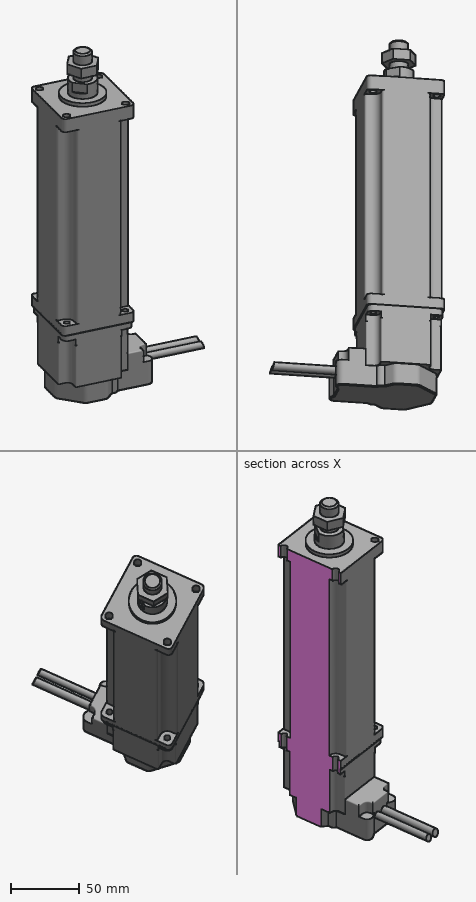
import cadquery as cq
import math

CAP_TOP = 16.5
CONNECTOR_SHELF_Z = 19.7
CONNECTOR_TOP = 29.7
MOTOR_RELIEF_Z = 50.8
MOTOR_GROOVE_TOP = 55.8
MOTOR_TOP = 60.8
LOWER_FLANGE_TOP = 68.8
UPPER_FLANGE_BOTTOM = 229.0
HOUSING_TOP = 239.8
PILOT_TOP = 242.8
ROD_FLAT_BOTTOM = 247.3
ROD_TOP = 254.7
NUT_BOTTOM = 260.5
NUT_HEIGHT = 8.0
TIP_TOP = 277.5

HOUSING_WIDTH = 58.0
FLANGE_CORNER_RADIUS = 3.3
BOLT_OFFSET = 24.0
BOLT_HOLE_DIAMETER = 5.5
HOUSING_GROOVE_WALL = 18.0
HOUSING_MOUTH_RADIUS = 1.7

MOTOR_WIDTH = 56.3
MOTOR_CORNER_RADIUS = 4.5
MOTOR_GROOVE_WALL = 18.5
MOTOR_GROOVE_RADIUS = 4.2
MOTOR_MOUTH_RADIUS = 0.8
MOTOR_BOLT_OFFSET = 23.5
MOTOR_BOLT_HOLE_DIAMETER = 4.5

CAP_WIDTH = 53.3
CAP_FLAT_HALF = 9.7
CAP_BACK_FLAT_HALF = 8.0
CAP_EDGE_RADIUS = 4.7
BASE_CHAMFER = 0.8

CONNECTOR_WIDTH = 36.0
CONNECTOR_FRONT_Y = 47.2
CONNECTOR_EDGE_RADIUS = 0.97
EAR_RADIUS = 4.58
EAR_RECESS_RADIUS = 4.02
EAR_Y = 45.0
EAR_SLOPE_ANGLE = 65
SHOULDER_WIDTH = 40.5
SHOULDER_Y = 20.5
SHOULDER_RADIUS = 4.0

CABLE_END_Y = 95.6
CABLE_END_SLANT = 1.7
CABLE_Z = 16.0
POWER_CABLE_X = -4.0
POWER_CABLE_DIAMETER = 6.5
SIGNAL_CABLE_X = 4.2
SIGNAL_CABLE_DIAMETER = 5.5

PILOT_DIAMETER = 35.0
ROD_DIAMETER = 22.0
ROD_ACROSS_FLATS = 19.0
ROD_FLAT_ANGLE = -38
TIP_DIAMETER = 14.0
TIP_CHAMFER = 1.5
NUT_ACROSS_FLATS = 22.0

COS_45 = math.sqrt(0.5)
HALF_FACET_ANGLE = math.radians(30)
CORNER_SIGNS = [(sx, sy) for sx in (-1, 1) for sy in (-1, 1)]


def square_block(width, bottom, top):
    """Square block centred on the Z axis."""
    return cq.Workplane("XY", origin=(0, 0, bottom)).rect(width, width).extrude(top - bottom)


def cylinder(diameter, bottom, top):
    """Round bar on the Z axis."""
    return cq.Workplane("XY", origin=(0, 0, bottom)).circle(diameter / 2).extrude(top - bottom)


def corner_grooves(width, wall, radius, mouth_radius, bottom, top):
    """Cutters for the four bolt grooves along the corners of a square block.

    Each groove has walls at the distance `wall` from the axis planes, a rounded
    inner edge, and mouths rounded over at the block faces.
    """
    half = width / 2
    outside = width
    mouth = wall - mouth_radius
    mouth_end = half - mouth_radius
    mouth_mid = mouth_radius * COS_45
    tangent = wall + radius
    arc_mid = tangent - radius * COS_45
    outline = cq.Workplane("XY", origin=(0, 0, bottom)).moveTo(mouth, outside)
    if mouth_radius > 0:
        outline = outline.lineTo(mouth, half)
        outline = outline.threePointArc((mouth + mouth_mid, mouth_end + mouth_mid), (wall, mouth_end))
    outline = outline.lineTo(wall, tangent).threePointArc((arc_mid, arc_mid), (tangent, wall))
    if mouth_radius > 0:
        outline = outline.lineTo(mouth_end, wall)
        outline = outline.threePointArc((mouth_end + mouth_mid, mouth + mouth_mid), (half, mouth))
    groove = outline.lineTo(outside, mouth).lineTo(outside, outside).close().extrude(top - bottom)

    cutters = groove
    for turn in (90, 180, 270):
        cutters = cutters.union(groove.rotate((0, 0, 0), (0, 0, 1), turn))
    return cutters


def make_motor():
    """Square motor with corner grooves whose mouths are rounded in their lower part."""
    motor = square_block(MOTOR_WIDTH, CAP_TOP, MOTOR_TOP).edges("|Z").fillet(MOTOR_CORNER_RADIUS)
    stages = [
        (CAP_TOP, MOTOR_RELIEF_Z, MOTOR_MOUTH_RADIUS),
        (MOTOR_RELIEF_Z, MOTOR_GROOVE_TOP, 0),
    ]
    for bottom, top, mouth_radius in stages:
        motor = motor.cut(
            corner_grooves(MOTOR_WIDTH, MOTOR_GROOVE_WALL, MOTOR_GROOVE_RADIUS, mouth_radius, bottom, top)
        )
    return motor


def make_housing():
    """Cylinder housing with a bolted flange at each end and grooves between them."""
    housing = square_block(HOUSING_WIDTH, MOTOR_TOP, HOUSING_TOP)
    housing = housing.edges("|Z").fillet(FLANGE_CORNER_RADIUS)
    grooves = corner_grooves(
        HOUSING_WIDTH,
        HOUSING_GROOVE_WALL,
        BOLT_OFFSET - HOUSING_GROOVE_WALL,
        HOUSING_MOUTH_RADIUS,
        LOWER_FLANGE_TOP,
        UPPER_FLANGE_BOTTOM,
    )
    return housing.cut(grooves)


def bolt_holes(offset, diameter, bottom, top):
    """Cutters for four bolt holes on a square pattern."""
    return (
        cq.Workplane("XY", origin=(0, 0, bottom))
        .pushPoints([(sx * offset, sy * offset) for sx, sy in CORNER_SIGNS])
        .circle(diameter / 2)
        .extrude(top - bottom)
    )


def make_cap():
    """Octagonal end cap with rounded upright edges."""
    half = CAP_WIDTH / 2
    flat = CAP_FLAT_HALF
    back_flat = CAP_BACK_FLAT_HALF
    octagon = [
        (half, -flat), (half, back_flat), (back_flat, half), (-back_flat, half),
        (-half, back_flat), (-half, -flat), (-flat, -half), (flat, -half),
    ]
    cap = cq.Workplane("XY").polyline(octagon).close().extrude(CAP_TOP)
    return cap.edges("|Z").fillet(CAP_EDGE_RADIUS)


def make_shoulder():
    """Rounded step between the end cap and the connector."""
    shoulder = cq.Workplane("XY").rect(SHOULDER_WIDTH, 2 * SHOULDER_Y).extrude(CAP_TOP)
    shoulder = shoulder.edges("|Z and >Y").fillet(SHOULDER_RADIUS)
    keep = cq.Workplane("XY").center(0, SHOULDER_Y / 2).rect(SHOULDER_WIDTH, SHOULDER_Y).extrude(CAP_TOP)
    return shoulder.intersect(keep)


def make_connector_base():
    """Low part of the connector, with a rounded screw ear at each front corner."""
    half = CONNECTOR_WIDTH / 2
    ear_x = half - EAR_RADIUS
    slope = math.radians(EAR_SLOPE_ANGLE)
    slope_x = ear_x - EAR_RADIUS * math.cos(slope)
    slope_y = EAR_Y + EAR_RADIUS * math.sin(slope)
    foot_x = slope_x - (slope_y - CONNECTOR_FRONT_Y) * math.tan(slope)
    crown_x = ear_x + EAR_RADIUS * COS_45
    crown_y = EAR_Y + EAR_RADIUS * COS_45
    return (
        cq.Workplane("XY")
        .moveTo(-half, 0)
        .lineTo(-half, EAR_Y)
        .threePointArc((-crown_x, crown_y), (-slope_x, slope_y))
        .lineTo(-foot_x, CONNECTOR_FRONT_Y)
        .lineTo(foot_x, CONNECTOR_FRONT_Y)
        .lineTo(slope_x, slope_y)
        .threePointArc((crown_x, crown_y), (half, EAR_Y))
        .lineTo(half, 0)
        .close()
        .extrude(CONNECTOR_SHELF_Z)
    )


def make_connector_tower():
    """High part of the connector, cut back round each ear and rounded along its top edge."""
    half = CONNECTOR_WIDTH / 2
    ear_x = half - EAR_RADIUS
    ear_back_y = EAR_Y - EAR_RECESS_RADIUS
    inner_x = ear_x - EAR_RECESS_RADIUS
    mid_x = ear_x - EAR_RECESS_RADIUS * COS_45
    mid_y = EAR_Y - EAR_RECESS_RADIUS * COS_45
    tower = (
        cq.Workplane("XY", origin=(0, 0, CAP_TOP))
        .moveTo(-half, 0)
        .lineTo(-half, ear_back_y)
        .lineTo(-ear_x, ear_back_y)
        .threePointArc((-mid_x, mid_y), (-inner_x, EAR_Y))
        .lineTo(-inner_x, CONNECTOR_FRONT_Y)
        .lineTo(inner_x, CONNECTOR_FRONT_Y)
        .lineTo(inner_x, EAR_Y)
        .threePointArc((mid_x, mid_y), (ear_x, ear_back_y))
        .lineTo(half, ear_back_y)
        .lineTo(half, 0)
        .close()
        .extrude(CONNECTOR_TOP - CAP_TOP)
    )
    return tower.faces(">Z").edges("not <Y").fillet(CONNECTOR_EDGE_RADIUS)


def make_cable(x, diameter):
    """Straight cable that leaves the connector front and ends in a slanted cut."""
    radius = diameter / 2
    length = CABLE_END_Y - EAR_Y
    cable = cq.Workplane("XZ", origin=(x, EAR_Y, CABLE_Z)).circle(radius).extrude(-length)
    slant = (
        cq.Workplane("YZ", origin=(x - diameter, 0, CABLE_Z))
        .moveTo(CABLE_END_Y, -radius)
        .lineTo(CABLE_END_Y, radius)
        .lineTo(CABLE_END_Y - CABLE_END_SLANT, radius)
        .close()
        .extrude(2 * diameter)
    )
    return cable.cut(slant)


def make_rod():
    """Stepped rod: pilot ring, round rod with two wrench flats, and a chamfered tip."""
    rod = cylinder(ROD_DIAMETER, PILOT_TOP, ROD_TOP)
    flats = (
        cq.Workplane("XY", origin=(0, 0, ROD_FLAT_BOTTOM))
        .rect(2 * ROD_DIAMETER, 2 * ROD_DIAMETER)
        .rect(ROD_ACROSS_FLATS, 2 * ROD_DIAMETER)
        .extrude(ROD_TOP - ROD_FLAT_BOTTOM)
        .rotate((0, 0, 0), (0, 0, 1), ROD_FLAT_ANGLE)
    )
    pilot = cylinder(PILOT_DIAMETER, HOUSING_TOP, PILOT_TOP)
    tip = cylinder(TIP_DIAMETER, ROD_TOP, TIP_TOP).faces(">Z").chamfer(TIP_CHAMFER)
    return rod.cut(flats).union(pilot).union(tip)


def make_actuator():
    """Motor, housing, connector with cables, and rod as one solid."""
    base = make_cap().union(make_shoulder()).union(make_connector_base())
    base = base.faces("<Z").edges().chamfer(BASE_CHAMFER)
    return (
        make_motor()
        .union(make_housing())
        .cut(bolt_holes(BOLT_OFFSET, BOLT_HOLE_DIAMETER, UPPER_FLANGE_BOTTOM, HOUSING_TOP))
        .cut(bolt_holes(MOTOR_BOLT_OFFSET, MOTOR_BOLT_HOLE_DIAMETER, MOTOR_GROOVE_TOP, LOWER_FLANGE_TOP))
        .union(base)
        .union(make_connector_tower())
        .union(make_cable(POWER_CABLE_X, POWER_CABLE_DIAMETER))
        .union(make_cable(SIGNAL_CABLE_X, SIGNAL_CABLE_DIAMETER))
        .union(make_rod())
    )


def make_nut():
    """Hexagonal lock nut on the rod tip, with corners on the Y axis."""
    across_corners = NUT_ACROSS_FLATS / math.cos(HALF_FACET_ANGLE)
    return (
        cq.Workplane("XY", origin=(0, 0, NUT_BOTTOM))
        .polygon(6, across_corners)
        .extrude(NUT_HEIGHT)
        .rotate((0, 0, 0), (0, 0, 1), 90)
        .cut(cylinder(TIP_DIAMETER, NUT_BOTTOM, NUT_BOTTOM + NUT_HEIGHT))
    )


actuator = make_actuator()
nut = make_nut()
result = cq.Compound.makeCompound([actuator.val(), nut.val()])